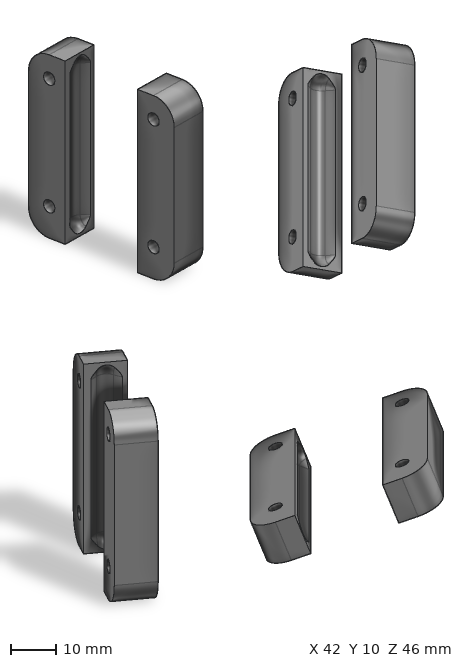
import cadquery as cq
import math

total_width = 42.0
depth = 10.0
height = 46.0

bar_width = 10.6
corner_radius = 6.0
hole_diameter = 3.2
hole_spacing = 32.0

floor_radius = 2.7
floor_center_inset = -0.28
end_axis_offset = 0.9
pocket_center_y = 0.25
end_inset = 3.95

inner_x = total_width / 2 - bar_width
outer_x = total_width / 2


def make_blank():
    """Bar with its two outer corners rounded."""
    return (
        cq.Workplane("XY")
        .box(bar_width, depth, height)
        .translate((inner_x + bar_width / 2, 0, 0))
        .edges("|Y and >X")
        .fillet(corner_radius)
    )


def make_screw_holes():
    """Two through holes along Y, the upper one concentric with the top rounded corner."""
    hole_x = outer_x - corner_radius
    upper_z = height / 2 - corner_radius
    lower_z = upper_z - hole_spacing
    return (
        cq.Workplane("XZ")
        .pushPoints([(hole_x, lower_z), (hole_x, upper_z)])
        .circle(hole_diameter / 2)
        .extrude(depth / 2, both=True)
    )


def pocket_profile():
    """Pocket section in XY: a round floor between tangent 45 degree walls. The end axis is at X = 0."""
    center_x = end_axis_offset + floor_center_inset
    tangent = floor_radius / math.sqrt(2)
    mouth = center_x + floor_radius * math.sqrt(2)
    return (
        cq.Workplane("XY")
        .moveTo(0, -mouth)
        .lineTo(center_x + tangent, -tangent)
        .threePointArc((center_x + floor_radius, 0), (center_x + tangent, tangent))
        .lineTo(0, mouth)
        .close()
    )


def make_pocket():
    """Channel along Z, ended by the same section turned about Y."""
    end_z = height / 2 - end_inset
    pocket = pocket_profile().extrude(end_z, both=True)
    round_end = pocket_profile().revolve(360, (0, 0, 0), (0, 1, 0))
    for z in (-end_z, end_z):
        pocket = pocket.union(round_end.translate((0, 0, z)))
    return pocket.translate((inner_x - end_axis_offset, pocket_center_y, 0))


def make_bar():
    """Right-hand bar, with its pocket facing the centre plane."""
    return make_blank().cut(make_screw_holes()).cut(make_pocket())


right_bar = make_bar()
left_bar = right_bar.mirror("YZ")

result = cq.Compound.makeCompound([left_bar.val(), right_bar.val()])